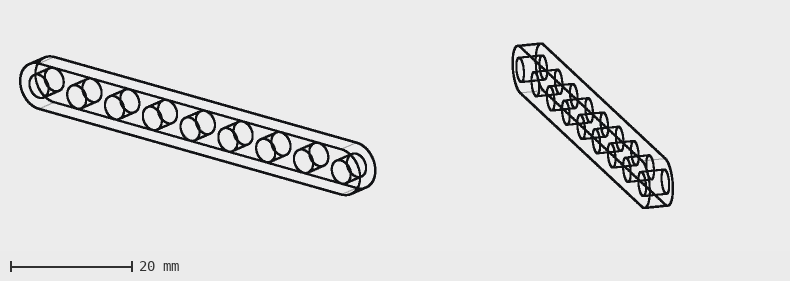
import cadquery as cq

length = 72.0
hole_count = 9
thickness = 4.0
hole_diameter = 4.0

pitch = length / hole_count
width = pitch

bar = cq.Workplane("XZ").slot2D(length, width).extrude(thickness / 2, both=True)

holes = (
    cq.Workplane("XZ")
    .rarray(pitch, width, hole_count, 1)
    .circle(hole_diameter / 2)
    .extrude(thickness / 2, both=True)
)

result = bar.cut(holes)